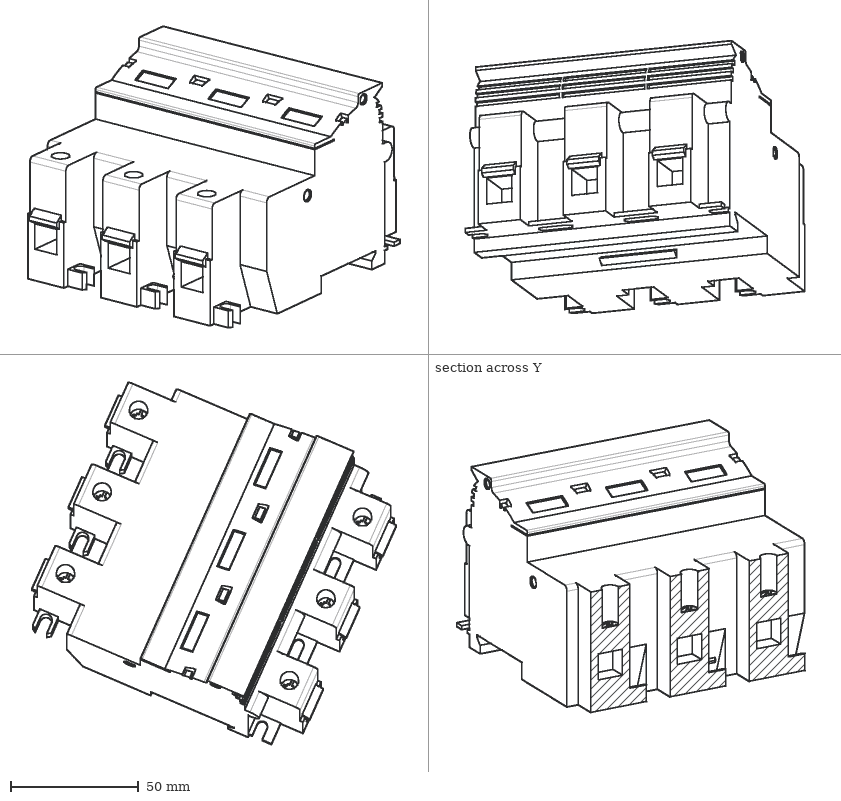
import cadquery as cq
import math


WIDTH = 106.8
LENGTH = 120.4
HEIGHT = 75.9
POLES = 3
POLE_PITCH = WIDTH / POLES
POLE_CENTRES = [(i - (POLES - 1) / 2) * POLE_PITCH for i in range(POLES)]
SEAMS = [i * POLE_PITCH - WIDTH / 2 for i in range(POLES + 1)]
INNER_SEAMS = SEAMS[1:-1]

OVERLAP = 1.2

SHOULDER_Z = 50.3
EDGE_RADIUS = 1.9
FRONT_Y = -38.6
REAR_Y = 38.8
RAIL_FRONT_Y = -2.8
RAIL_TOP_Z = 7.1
FOOT_Y = 30.2
FOOT_LIP_Z = 3.6
FOOT_CHAMFER = 2.6

COVER_FRONT_Y = -7.2
COVER_TOP_Z = 63.5
COVER_REAR_Y = 37.3
COVER_EDGE_RADIUS = 0.7
SLOPE_START = (3.3, COVER_TOP_Z)
SLOPE_MIDDLE = (10.7, 67.4)
SLOPE_END = (19.9, 70.4)
HANDLE_FRONT_Y = 21.2
HANDLE_ROOT_Z = 72.4
HANDLE_ROOT_RADIUS = 1.9
HANDLE_RADIUS = 1.0
HANDLE_TIP_Y = 37.1
HANDLE_TIP_Z = 74.4
NECK_Y = 32.0
NECK_Z = 71.3
CHEEK_START_Z = 61.9
CHEEK_INSET = COVER_REAR_Y - NECK_Y
CHEEK_RISE = NECK_Z - CHEEK_START_Z
CHEEK_RADIUS = (CHEEK_INSET**2 + CHEEK_RISE**2) / (2 * CHEEK_INSET)
CHEEK_CENTRE_Y = COVER_REAR_Y - CHEEK_RADIUS

SLIT_Z = 61.4
SLIT_HEIGHT = 0.5
SLIT_REAR_Y = 5.5
VENT_COUNT = 3
VENT_LOW_Z = 60.7
VENT_PITCH = 3.5
VENT_HEIGHT = 1.8
VENT_DEPTH = 1.8
VENT_RIB = 1.2

WINDOW_WIDTH = 16.1
WINDOW_LENGTH = 5.9
WINDOW_DEPTH = 0.5
WINDOW_Y = 8.2
WINDOW_Z = 66.2
WINDOW_TILT = 26.0
WINDOW_DRAFT = 45.0
SNAP_FRONT_Y = 10.7
SNAP_REAR_Y = 14.8
SNAP_FLOOR_Z = 66.0
SNAP_LEAN_TOP_Z = 68.6
SNAP_MOUTH_Z = 70.4
SNAP_HALF_WIDTH = 3.6
CATCH_HALF_WIDTH = 2.4
CATCH_FRONT = (11.5, 66.6)
CATCH_REAR = (14.0, 67.8)

TERMINAL_WIDTH = 17.6
FRONT_TERMINAL_SHIFT = -4.0
TERMINAL_ROOT_Y = 34.9
TERMINAL_UPPER_Y = 57.0
TERMINAL_LOWER_Y = 58.3
TERMINAL_STEP_Z = 27.2
REAR_TERMINAL_BOTTOM_Z = 5.4
FRONT_TERMINAL_BOTTOM_Z = 0.0
LATCH_WIDTH = 13.2
LATCH_TOP_Z = 29.5
LATCH_BOTTOM_Z = 24.1
LATCH_NOSE_TOP_Z = 27.2
LATCH_NOSE_BOTTOM_Z = 25.4
WIRE_WIDTH = 10.6
WIRE_BOTTOM_Z = 13.1
WIRE_TOP_Z = 23.7
WIRE_DEPTH = 16.9

SCREW_Y = 48.6
SCREW_DIAMETER = 7.1
SCREW_EDGE_Z = 34.9
SCREW_DOME = 1.2
DRIVE_WIDTH = 1.0
DRIVE_LENGTH = 5.0
DRIVE_DEPTH = 1.8
DRIVE_CORE = 2.6

BEAD_RADIUS = 4.0
BEAD_Y = 39.5
PLATE_REAR_Y = 48.8
PLATE_BOTTOM_Z = 5.4
PLATE_SLOT_LENGTH = 14.0
PLATE_SLOT_WIDTH = 4.2
PLATE_SLOT_Y = 42.6

FORK_LENGTH = 8.1
FORK_Y = -51.8
FORK_WIDTH = 8.0
FORK_SLOT_WIDTH = 4.8
FORK_WEB = 0.7
FORK_TIP = 1.1
RAMP_TOP_Z = 19.7
RAMP_LENGTH = 7.0
CLIP_WIDTH = 31.3
CLIP_TIP_Y = -0.1
CLIP_TIP_Z = 4.2
CLIP_ROOT_TOP_Z = 5.5
CLIP_ROOT_BOTTOM_Z = 2.0
TAIL_FRONT_Y = -34.9
TAIL_BOTTOM_Z = 4.6
TAIL_TOP_Z = 6.6
TAIL_BEVEL = 0.8

HANDLE_HOLE = (24.8, 72.6, 3.1, 4.3)
HOUSING_HOLE = (-11.8, 43.3, 3.9, 4.8)
HOLE_COUNTERBORE_DEPTH = 0.6


def box(x0, x1, y0, y1, z0, z1):
    return cq.Workplane("XY").box(x1 - x0, y1 - y0, z1 - z0, centered=False).translate((x0, y0, z0))


def across(points, x_centre, width):
    """Extrude a closed (Y, Z) outline along X, centred on x_centre."""
    return cq.Workplane("YZ", origin=(x_centre, 0, 0)).polyline(points).close().extrude(width / 2, both=True)


def make_housing():
    foot_chamfer_z = FOOT_LIP_Z + FOOT_CHAMFER
    cheek_angle = math.atan2(CHEEK_RISE, NECK_Y - CHEEK_CENTRE_Y) / 2
    cheek_middle = (
        CHEEK_CENTRE_Y + CHEEK_RADIUS * math.cos(cheek_angle),
        CHEEK_START_Z + CHEEK_RADIUS * math.sin(cheek_angle),
    )
    return (
        cq.Workplane("YZ")
        .moveTo(FRONT_Y, 0)
        .lineTo(RAIL_FRONT_Y, 0)
        .lineTo(RAIL_FRONT_Y, RAIL_TOP_Z)
        .lineTo(FOOT_Y + FOOT_CHAMFER, RAIL_TOP_Z)
        .lineTo(FOOT_Y + FOOT_CHAMFER, foot_chamfer_z)
        .lineTo(FOOT_Y, FOOT_LIP_Z)
        .lineTo(FOOT_Y, 0)
        .lineTo(REAR_Y, 0)
        .lineTo(REAR_Y, SHOULDER_Z - 2 * BEAD_RADIUS)
        .lineTo(BEAD_Y, SHOULDER_Z - 2 * BEAD_RADIUS)
        .radiusArc((BEAD_Y + BEAD_RADIUS, SHOULDER_Z - BEAD_RADIUS), -BEAD_RADIUS)
        .radiusArc((BEAD_Y, SHOULDER_Z), -BEAD_RADIUS)
        .lineTo(COVER_REAR_Y, SHOULDER_Z)
        .lineTo(COVER_REAR_Y, CHEEK_START_Z)
        .threePointArc(cheek_middle, (NECK_Y, NECK_Z))
        .lineTo(HANDLE_TIP_Y, HANDLE_TIP_Z)
        .lineTo(HANDLE_TIP_Y, HEIGHT)
        .lineTo(HANDLE_FRONT_Y + HANDLE_RADIUS, HEIGHT)
        .radiusArc((HANDLE_FRONT_Y, HEIGHT - HANDLE_RADIUS), -HANDLE_RADIUS)
        .lineTo(HANDLE_FRONT_Y, HANDLE_ROOT_Z)
        .radiusArc(SLOPE_END, HANDLE_ROOT_RADIUS)
        .threePointArc(SLOPE_MIDDLE, SLOPE_START)
        .lineTo(COVER_FRONT_Y + COVER_EDGE_RADIUS, COVER_TOP_Z)
        .radiusArc((COVER_FRONT_Y, COVER_TOP_Z - COVER_EDGE_RADIUS), -COVER_EDGE_RADIUS)
        .lineTo(COVER_FRONT_Y, SHOULDER_Z)
        .lineTo(FRONT_Y + EDGE_RADIUS, SHOULDER_Z)
        .radiusArc((FRONT_Y, SHOULDER_Z - EDGE_RADIUS), -EDGE_RADIUS)
        .close()
        .extrude(WIDTH / 2, both=True)
    )


def make_rear_plate():
    plate = box(-WIDTH / 2, WIDTH / 2, REAR_Y - OVERLAP, PLATE_REAR_Y, PLATE_BOTTOM_Z, RAIL_TOP_Z)
    slots = (
        cq.Workplane("XY")
        .pushPoints([(x, PLATE_SLOT_Y) for x in SEAMS])
        .slot2D(PLATE_SLOT_LENGTH, PLATE_SLOT_WIDTH)
        .extrude(RAIL_TOP_Z)
    )
    return plate.cut(slots)


def make_screw_space():
    """Screw shaft opening above a domed, cross-slotted head, around the Z axis."""
    radius = SCREW_DIAMETER / 2
    dome_radius = (radius**2 + SCREW_DOME**2) / (2 * SCREW_DOME)
    opening = (
        cq.Workplane("XZ")
        .moveTo(0, SHOULDER_Z)
        .lineTo(radius, SHOULDER_Z)
        .lineTo(radius, SCREW_EDGE_Z)
        .radiusArc((0, SCREW_EDGE_Z + SCREW_DOME), -dome_radius)
        .close()
        .revolve(360, (0, 0, 0), (0, 1, 0))
    )
    drive = cq.Workplane("XY").rect(SCREW_DIAMETER, DRIVE_WIDTH).extrude(DRIVE_DEPTH)
    drive = drive.union(cq.Workplane("XY").rect(DRIVE_WIDTH, DRIVE_LENGTH).extrude(DRIVE_DEPTH))
    drive = drive.union(cq.Workplane("XY").rect(DRIVE_CORE, DRIVE_CORE).extrude(DRIVE_DEPTH))
    shaft = cq.Workplane("XY").circle(radius).extrude(DRIVE_DEPTH)
    drive_bottom_z = SCREW_EDGE_Z + SCREW_DOME - DRIVE_DEPTH
    return opening.union(drive.intersect(shaft).translate((0, 0, drive_bottom_z)))


def make_terminal(bottom_z):
    """Rear terminal block centred on X = 0, its inner end buried in the housing."""
    block = (
        cq.Workplane("YZ")
        .moveTo(TERMINAL_ROOT_Y, bottom_z)
        .lineTo(TERMINAL_LOWER_Y, bottom_z)
        .lineTo(TERMINAL_LOWER_Y, TERMINAL_STEP_Z)
        .lineTo(TERMINAL_UPPER_Y, TERMINAL_STEP_Z)
        .lineTo(TERMINAL_UPPER_Y, SHOULDER_Z - EDGE_RADIUS)
        .radiusArc((TERMINAL_UPPER_Y - EDGE_RADIUS, SHOULDER_Z), -EDGE_RADIUS)
        .lineTo(TERMINAL_ROOT_Y, SHOULDER_Z)
        .close()
        .extrude(TERMINAL_WIDTH / 2, both=True)
    )
    latch_outline = [
        (TERMINAL_UPPER_Y, LATCH_TOP_Z),
        (LENGTH / 2, LATCH_NOSE_TOP_Z),
        (LENGTH / 2, LATCH_NOSE_BOTTOM_Z),
        (TERMINAL_LOWER_Y, LATCH_BOTTOM_Z),
        (TERMINAL_UPPER_Y, LATCH_BOTTOM_Z),
    ]
    wire_entry = box(
        -WIRE_WIDTH / 2,
        WIRE_WIDTH / 2,
        TERMINAL_LOWER_Y - WIRE_DEPTH,
        TERMINAL_LOWER_Y,
        WIRE_BOTTOM_Z,
        WIRE_TOP_Z,
    )
    block = block.union(across(latch_outline, 0, LATCH_WIDTH))
    return block.cut(wire_entry).cut(make_screw_space().translate((0, SCREW_Y, 0)))


def make_fork(x_root):
    """Open-ended fork lug on the right flank of a front terminal."""
    half = FORK_WIDTH / 2
    slot_radius = FORK_SLOT_WIDTH / 2
    arc_x = FORK_WEB + slot_radius
    return (
        cq.Workplane("XY", origin=(x_root, FORK_Y, 0))
        .moveTo(-OVERLAP, -half)
        .lineTo(FORK_LENGTH - FORK_TIP, -half)
        .lineTo(FORK_LENGTH, -slot_radius)
        .lineTo(arc_x, -slot_radius)
        .threePointArc((FORK_WEB, 0), (arc_x, slot_radius))
        .lineTo(FORK_LENGTH, slot_radius)
        .lineTo(FORK_LENGTH - FORK_TIP, half)
        .lineTo(-OVERLAP, half)
        .close()
        .extrude(RAIL_TOP_Z)
    )


def make_ramp(x_start, x_end):
    """Sloping relief under the front face between a terminal and the next seam."""
    outline = [(FRONT_Y, 0), (FRONT_Y + RAMP_LENGTH, 0), (FRONT_Y, RAMP_TOP_Z)]
    return across(outline, (x_start + x_end) / 2, x_end - x_start)


def make_rail_clip():
    """Sliding clip: a hook over the rail at the back and a bevelled tail at the front."""
    hook_outline = [
        (RAIL_FRONT_Y - OVERLAP, CLIP_ROOT_BOTTOM_Z),
        (RAIL_FRONT_Y, CLIP_ROOT_BOTTOM_Z),
        (CLIP_TIP_Y, CLIP_TIP_Z),
        (RAIL_FRONT_Y, CLIP_ROOT_TOP_Z),
        (RAIL_FRONT_Y - OVERLAP, CLIP_ROOT_TOP_Z),
    ]
    tail_outline = [
        (RAIL_FRONT_Y - OVERLAP, TAIL_BOTTOM_Z),
        (RAIL_FRONT_Y - OVERLAP, TAIL_TOP_Z),
        (TAIL_FRONT_Y + TAIL_BEVEL, TAIL_TOP_Z),
        (TAIL_FRONT_Y, TAIL_TOP_Z - TAIL_BEVEL),
        (TAIL_FRONT_Y + TAIL_BEVEL, TAIL_BOTTOM_Z),
    ]
    return across(hook_outline, 0, CLIP_WIDTH).union(across(tail_outline, 0, CLIP_WIDTH))


def make_vents():
    """Rear slots following the round cheek, interrupted by a rib at each inner seam."""
    floor_radius = CHEEK_RADIUS - VENT_DEPTH
    vents = cq.Workplane("XY")
    for i in range(VENT_COUNT):
        z = VENT_LOW_Z + i * VENT_PITCH
        rise = max(z - CHEEK_START_Z, 0)
        floor_y = CHEEK_CENTRE_Y + math.sqrt(floor_radius**2 - rise**2)
        half = VENT_HEIGHT / 2
        vents = vents.union(box(-WIDTH / 2, WIDTH / 2, floor_y, COVER_REAR_Y, z - half, z + half))
    for x in INNER_SEAMS:
        half = VENT_RIB / 2
        vents = vents.cut(box(x - half, x + half, NECK_Y, COVER_REAR_Y, SHOULDER_Z, HEIGHT))
    return vents


def make_window(x):
    """Shallow drafted recess, tilted to follow the slope of the cover."""
    sunk = cq.Workplane("XY").rect(WINDOW_WIDTH, WINDOW_LENGTH).extrude(-WINDOW_DEPTH, taper=WINDOW_DRAFT)
    mouth = cq.Workplane("XY").rect(WINDOW_WIDTH, WINDOW_LENGTH).extrude(WINDOW_DEPTH)
    return (
        sunk.union(mouth)
        .rotate((0, 0, 0), (1, 0, 0), WINDOW_TILT)
        .translate((x, WINDOW_Y, WINDOW_Z))
    )


def make_snap_pocket(x):
    """Pocket with leaning side walls and a sloping catch left standing in it."""
    pocket = (
        cq.Workplane("XZ", origin=(x, SNAP_REAR_Y, 0))
        .polyline(
            [
                (-CATCH_HALF_WIDTH, SNAP_FLOOR_Z),
                (CATCH_HALF_WIDTH, SNAP_FLOOR_Z),
                (SNAP_HALF_WIDTH, SNAP_LEAN_TOP_Z),
                (SNAP_HALF_WIDTH, SNAP_MOUTH_Z),
                (-SNAP_HALF_WIDTH, SNAP_MOUTH_Z),
                (-SNAP_HALF_WIDTH, SNAP_LEAN_TOP_Z),
            ]
        )
        .close()
        .extrude(SNAP_REAR_Y - SNAP_FRONT_Y)
    )
    catch_outline = [
        (CATCH_FRONT[0], SNAP_FLOOR_Z),
        CATCH_FRONT,
        CATCH_REAR,
        (CATCH_REAR[0], SNAP_FLOOR_Z),
    ]
    return pocket.cut(across(catch_outline, x, 2 * CATCH_HALF_WIDTH))


def make_cross_hole(y, z, diameter, counterbore):
    axis = cq.Workplane("YZ").center(y, z)
    hole = axis.circle(diameter / 2).extrude(WIDTH / 2, both=True)
    for x in (-WIDTH / 2, WIDTH / 2):
        ring = cq.Workplane("YZ", origin=(x, 0, 0)).center(y, z).circle(counterbore / 2)
        hole = hole.union(ring.extrude(HOLE_COUNTERBORE_DEPTH, both=True))
    return hole


body = make_housing().union(make_rear_plate())

for i, x in enumerate(POLE_CENTRES):
    front_x = x + FRONT_TERMINAL_SHIFT
    flank_x = front_x + TERMINAL_WIDTH / 2
    body = body.cut(make_ramp(flank_x, SEAMS[i + 1]))
    body = body.union(make_terminal(REAR_TERMINAL_BOTTOM_Z).translate((x, 0, 0)))
    front_terminal = make_terminal(FRONT_TERMINAL_BOTTOM_Z).mirror("XZ").translate((front_x, 0, 0))
    body = body.union(front_terminal).union(make_fork(flank_x))
    body = body.cut(make_window(x))

body = body.union(make_rail_clip())

for x in SEAMS:
    body = body.cut(make_snap_pocket(x))

slit_half = SLIT_HEIGHT / 2
slit = box(-WIDTH / 2, WIDTH / 2, COVER_FRONT_Y, SLIT_REAR_Y, SLIT_Z - slit_half, SLIT_Z + slit_half)
body = body.cut(slit).cut(make_vents())

for hole in (HANDLE_HOLE, HOUSING_HOLE):
    body = body.cut(make_cross_hole(*hole))

result = body